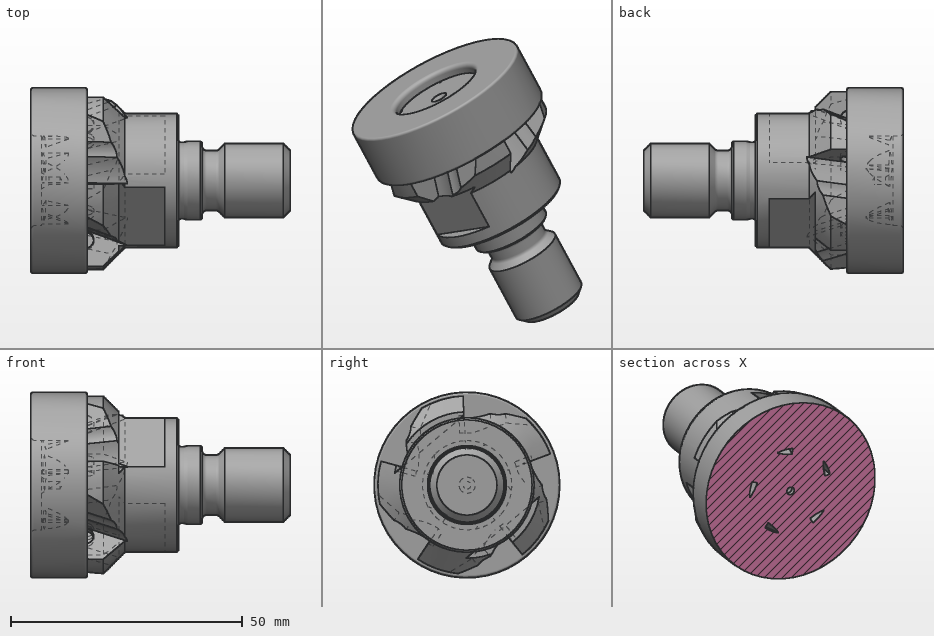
import cadquery as cq
import math


head_radius = 20.05
head_length = 12.2
head_edge_fillet = 0.55
recess_radius = 9.65
recess_depth = 2.3
recess_lip_fillet = 1.0

centre_hole_diameter = 1.6
centre_sink_diameter = 3.45
centre_sink_half_angle = 30.0
centre_hole_depth = 3.9
drill_tip_half_angle = 59.0

collar_radius = 19.2
cone_start = 15.6
body_radius = 14.5
body_end = 31.9
body_chamfer = 0.45
cone_angle = 45.0
cone_end = cone_start + (collar_radius - body_radius) / math.tan(math.radians(cone_angle))

undercut_radius = 8.3
undercut_fillet = 0.45
undercut_end = 33.05
pilot_radius = 8.5
pilot_start = 33.8
pilot_end = 36.95
pilot_chamfer = 0.35
neck_radius = 6.5
neck_fillet = 1.0
thread_radius = 8.0
thread_start = 41.9
thread_chamfer = 1.5
total_length = 56.0

flat_start = 19.05
flat_end = 28.95
flat_distance = 12.0
flat_angle = 50.0

pocket_count = 5
pocket_wall_angle = 15.5
pocket_tilt = 21.0
seat_floor_radial = 11.2
seat_edge_radial = 12.7
seat_edge_width = 5.7
ridge_radial = 13.05
ridge_width = 8.95
groove_arc_radius = 4.5
floor_end_radial = 12.05
pocket_reach = 16.8
pocket_lead = 5.6

screw_diameter = 4.0
screw_depth = 1.1
screw_x = 11.6
screw_radial = 13.2


def turn_about_axis(shape, angle):
    """Move a shape built on the -Y side to the given angle around X."""
    return shape.rotate((0, 0, 0), (1, 0, 0), -angle)


def make_turned_body():
    core_step = head_length / 2
    neck_start = pilot_end + neck_fillet
    neck_cone_start = thread_start - (thread_radius - neck_radius) / math.tan(math.radians(cone_angle))
    blend_length = neck_fillet * math.tan(math.radians(cone_angle / 2))
    blend_rise = blend_length * math.sin(math.radians(cone_angle))
    profile = (
        cq.Workplane("XY")
        .moveTo(recess_depth, 0)
        .lineTo(recess_depth, recess_radius)
        .lineTo(core_step, recess_radius)
        .lineTo(core_step, collar_radius)
        .lineTo(cone_start, collar_radius)
        .lineTo(cone_end, body_radius)
        .lineTo(body_end - body_chamfer, body_radius)
        .lineTo(body_end, body_radius - body_chamfer)
        .lineTo(body_end, undercut_radius + undercut_fillet)
        .radiusArc((body_end + undercut_fillet, undercut_radius), -undercut_fillet)
        .lineTo(undercut_end, undercut_radius)
        .lineTo(pilot_start, pilot_radius)
        .lineTo(pilot_end - pilot_chamfer, pilot_radius)
        .lineTo(pilot_end, pilot_radius - pilot_chamfer)
        .lineTo(pilot_end, neck_radius + neck_fillet)
        .radiusArc((neck_start, neck_radius), -neck_fillet)
        .lineTo(neck_cone_start - blend_length, neck_radius)
        .radiusArc((neck_cone_start + blend_rise, neck_radius + blend_rise), -neck_fillet)
        .lineTo(thread_start, thread_radius)
        .lineTo(total_length - thread_chamfer, thread_radius)
        .lineTo(total_length, thread_radius - thread_chamfer)
        .lineTo(total_length, 0)
        .close()
    )
    return profile.revolve(360, (0, 0, 0), (1, 0, 0))


def make_head():
    ring = cq.Workplane("YZ").circle(head_radius).circle(recess_radius).extrude(head_length)
    outer_edges = cq.selectors.RadiusNthSelector(-1)
    ring = ring.edges("%CIRCLE").edges(outer_edges).fillet(head_edge_fillet)
    return ring.faces("<X").edges(cq.selectors.RadiusNthSelector(0)).fillet(recess_lip_fillet)


def make_pocket():
    """Open pocket with a flat wall at angle zero and a floor that rises toward +X."""
    tilt = math.radians(pocket_tilt)
    plane = cq.Plane(
        origin=(head_length, 0, 0),
        xDir=(-math.sin(tilt), -math.cos(tilt), 0),
        normal=(-math.cos(tilt), math.sin(tilt), 0),
    )
    seat_floor = seat_floor_radial * math.cos(tilt)
    seat_edge = seat_edge_radial * math.cos(tilt)
    ridge = ridge_radial * math.cos(tilt)
    floor_end = floor_end_radial * math.cos(tilt)
    far = ridge + pocket_reach
    seat_rise = seat_edge - seat_floor
    seat_arc_radius = (seat_rise**2 + seat_edge_width**2) / (2 * seat_rise)
    section = (
        cq.Workplane(plane)
        .workplane(offset=pocket_lead)
        .moveTo(seat_floor, 0)
        .lineTo(far, 0)
        .lineTo(far, pocket_reach)
        .lineTo(floor_end, pocket_reach)
        .lineTo(ridge, ridge_width)
        .radiusArc((seat_edge, seat_edge_width), -groove_arc_radius)
        .radiusArc((seat_floor, 0), -seat_arc_radius)
        .close()
    )
    screw_hole = (
        cq.Workplane("XY")
        .center(screw_x, -screw_radial)
        .circle(screw_diameter / 2)
        .extrude(-screw_depth)
    )
    return section.extrude(-(pocket_lead + pocket_reach)).union(screw_hole)


def make_flat_cutter():
    depth = collar_radius - flat_distance
    return (
        cq.Workplane("XZ", origin=(0, -flat_distance, 0))
        .center((flat_start + flat_end) / 2, 0)
        .rect(flat_end - flat_start, 2 * collar_radius)
        .extrude(depth)
    )


def make_centre_hole():
    hole_radius = centre_hole_diameter / 2
    sink_radius = centre_sink_diameter / 2
    sink_depth = (sink_radius - hole_radius) / math.tan(math.radians(centre_sink_half_angle))
    tip_length = hole_radius / math.tan(math.radians(drill_tip_half_angle))
    return (
        cq.Workplane("XY", origin=(recess_depth, 0, 0))
        .moveTo(0, 0)
        .lineTo(0, sink_radius)
        .lineTo(sink_depth, hole_radius)
        .lineTo(centre_hole_depth, hole_radius)
        .lineTo(centre_hole_depth + tip_length, 0)
        .close()
        .revolve(360, (0, 0, 0), (1, 0, 0))
    )


result = make_turned_body()

pocket = make_pocket()
for index in range(pocket_count):
    pocket_angle = pocket_wall_angle + index * 360 / pocket_count
    result = result.cut(turn_about_axis(pocket, pocket_angle))

flat_cutter = make_flat_cutter()
for side_angle in (0, 180):
    result = result.cut(turn_about_axis(flat_cutter, flat_angle + side_angle))

result = result.union(make_head()).cut(make_centre_hole())